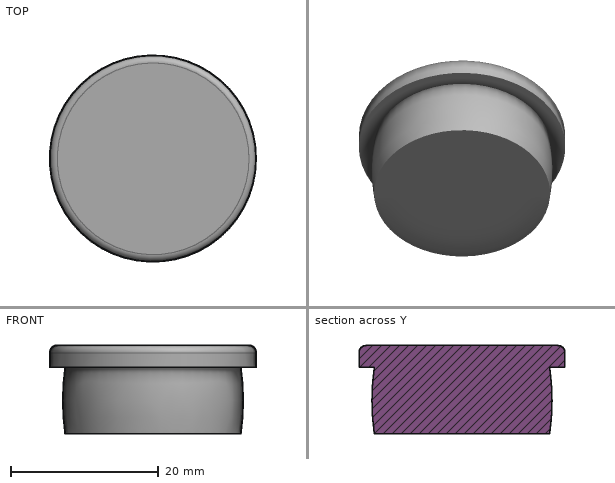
import cadquery as cq

cap_diameter = 28
cap_thickness = 3.0
cap_edge_radius = 1.0

total_height = 12.0
plug_end_diameter = 23.85
plug_middle_diameter = 24.5

plug_height = total_height - cap_thickness
end_radius = plug_end_diameter / 2
middle_radius = plug_middle_diameter / 2


def make_cap():
    """Disc with a rounded upper rim, resting on the plug."""
    disc = cq.Workplane("XY").workplane(offset=plug_height).circle(cap_diameter / 2).extrude(cap_thickness)
    return disc.faces(">Z").edges().fillet(cap_edge_radius)


def make_plug():
    """Solid of revolution whose side bulges in one arc, widest at mid height."""
    half_profile = (
        cq.Workplane("XZ")
        .lineTo(end_radius, 0)
        .threePointArc((middle_radius, plug_height / 2), (end_radius, plug_height))
        .lineTo(0, plug_height)
        .close()
    )
    return half_profile.revolve(360, (0, 0, 0), (0, 1, 0))


result = make_cap().union(make_plug())